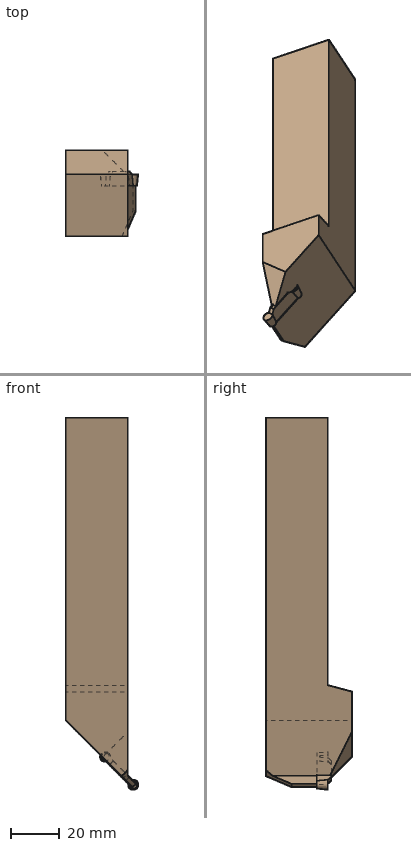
import cadquery as cq
import math


shank_size = 25.4
shank_length = 123.83
end_face_angle = 45.0
head_width = 35.27
head_back_height = 14.40
head_back_angle = 15.0
blade_thickness = 1.9

upper_bevel_drop = 15.0
lower_bevel_drop = 22.9
blade_end_drop = 27.4
lower_bevel_width = 10.5

nose_radius = 2.1
nose_relief_angle = 6.0
nose_reach = 29.71
nose_drop = 28.50
nose_spacing = 16.25
insert_base_y = 20.75
rake_y = shank_size
ridge_height = 1.35
ridge_top_length = 9.3
ridge_base_length = 12.9
insert_width = 2.3

slope = math.radians(end_face_angle)
length_per_drop = 1 / math.sin(slope)

nose_x = nose_reach - nose_radius
nose_z = nose_radius - nose_drop
nose_along = nose_x * math.cos(slope) - nose_z * math.sin(slope)
nose_depth = nose_x * math.sin(slope) + nose_z * math.cos(slope)
insert_middle = nose_along - nose_spacing / 2

along = (math.cos(slope), 0, -math.sin(slope))
inward = (math.sin(slope), 0, math.cos(slope))


def end_face_plane(depth):
    """Plane parallel to the end face: local x runs down it, local y is Y, the normal goes inward."""
    origin = tuple(depth * part for part in inward)
    return cq.Workplane(cq.Plane(origin=origin, xDir=along, normal=inward))


def level_plane(y):
    """Plane at a given Y: local x runs down the end face, local y inward, the normal is -Y."""
    return cq.Workplane(cq.Plane(origin=(0, y, 0), xDir=along, normal=(0, -1, 0)))


def make_insert():
    half_spacing = nose_spacing / 2
    half_profile = [
        (half_spacing, insert_base_y),
        (half_spacing, rake_y),
        (ridge_base_length / 2, rake_y),
        (ridge_top_length / 2, rake_y + ridge_height),
    ]
    other_half = [(-distance, y) for distance, y in reversed(half_profile)]
    insert = (
        end_face_plane(nose_depth - insert_width / 2)
        .center(insert_middle, 0)
        .polyline(half_profile + other_half)
        .close()
        .extrude(insert_width)
    )
    for side in (-1, 1):
        nose = (
            level_plane(rake_y)
            .center(insert_middle + side * half_spacing, nose_depth)
            .circle(nose_radius)
            .extrude(rake_y - insert_base_y, taper=nose_relief_angle)
        )
        insert = insert.union(nose)
    return insert


def make_holder_blank():
    blade_end = blade_end_drop * length_per_drop

    head_back_drop = (head_width - shank_size) * math.tan(math.radians(head_back_angle))
    body = (
        cq.Workplane("YZ")
        .polyline([
            (0, shank_length),
            (shank_size, shank_length),
            (shank_size, head_back_height),
            (head_width, head_back_height - head_back_drop),
            (head_width, -nose_drop),
            (0, -nose_drop),
        ])
        .close()
        .extrude(shank_size)
    )
    blade = end_face_plane(0).rect(2 * blade_end, 2 * head_width).extrude(blade_thickness)
    blade = blade.intersect(
        cq.Workplane("XY").box(nose_reach, head_width, nose_drop, centered=False)
        .translate((0, 0, -nose_drop))
    )

    upper_bevel_width = blade_end_drop - upper_bevel_drop
    outline = (
        end_face_plane(0)
        .polyline([
            (-shank_length * length_per_drop, 0),
            (lower_bevel_drop * length_per_drop, 0),
            (blade_end, lower_bevel_width),
            (blade_end, head_width - upper_bevel_width),
            (upper_bevel_drop * length_per_drop, head_width),
            (-shank_length * length_per_drop, head_width),
        ])
        .close()
        .extrude(shank_length + nose_reach)
    )
    return body.union(blade).intersect(outline)


def make_holder(insert):
    slot_start = insert_middle + ridge_base_length / 2
    slot_length = 2 * nose_radius + nose_spacing / 2
    slot_height = ridge_height + rake_y - insert_base_y
    slot = (
        end_face_plane(nose_depth - nose_radius)
        .center(slot_start + slot_length / 2, insert_base_y + slot_height / 2)
        .rect(slot_length, slot_height)
        .extrude(2 * nose_radius)
    )
    return make_holder_blank().cut(slot).cut(insert)


insert = make_insert()
holder = make_holder(insert)
result = cq.Compound.makeCompound([holder.val(), insert.val()])